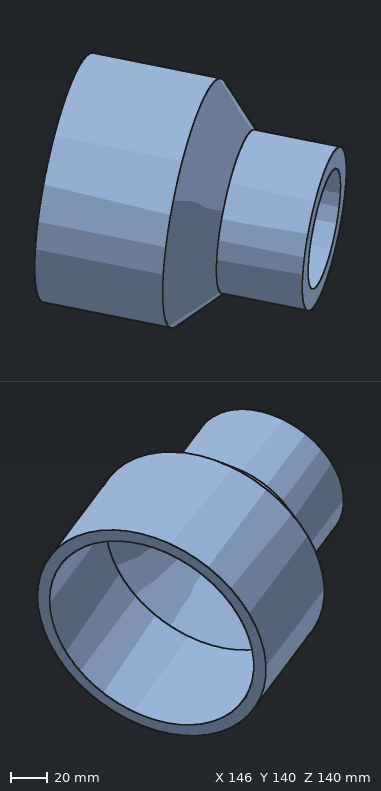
import cadquery as cq

total_length = 146.0
wide_length = 73.0
wide_bore_depth = 70.0
wide_outer_diameter = 140.0
wide_bore_diameter = 125.0
narrow_outer_diameter = 92.0
narrow_bore_diameter = 67.5

narrow_start = wide_length + (wide_outer_diameter - narrow_outer_diameter) / 2


def reducing_solid(wide_diameter, narrow_diameter, cone_start):
    """Solid of revolution about X: wide cylinder, cone, narrow cylinder."""
    wide_radius = wide_diameter / 2
    narrow_radius = narrow_diameter / 2
    return (
        cq.Workplane("XY")
        .polyline([
            (0, 0),
            (0, wide_radius),
            (cone_start, wide_radius),
            (narrow_start, narrow_radius),
            (total_length, narrow_radius),
            (total_length, 0),
        ])
        .close()
        .revolve(360, (0, 0, 0), (1, 0, 0))
    )


body = reducing_solid(wide_outer_diameter, narrow_outer_diameter, wide_length)
bore = reducing_solid(wide_bore_diameter, narrow_bore_diameter, wide_bore_depth)
result = body.cut(bore)